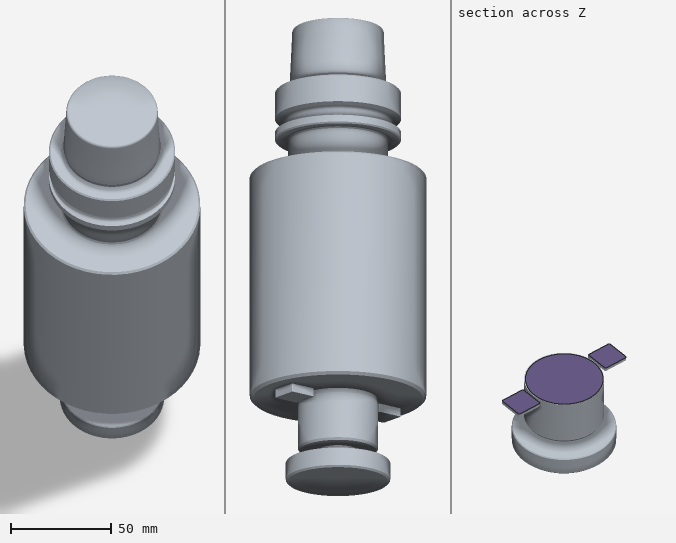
import cadquery as cq

TOTAL_HEIGHT = 235.0

DISC_RADIUS = 26.0
DISC_TOP = 10.0
DISC_CHAMFER = 1.0
DISC_TOP_CHAMFER = 0.5

PIN_RADIUS = 10.0

PILOT_RADIUS = 20.0
PILOT_BOTTOM = 16.0
PILOT_CHAMFER_WIDTH = 0.7
PILOT_CHAMFER_HEIGHT = 1.2
RELIEF_RADIUS = 19.5
RELIEF_BOTTOM = 40.6

BODY_DIAMETER = 88.0
BODY_RADIUS = BODY_DIAMETER / 2
BODY_BOTTOM = 43.0
BODY_TOP = 159.0
BODY_BOTTOM_CHAMFER = 1.5
BODY_TOP_CHAMFER = 1.0

NECK_RADIUS = 25.0
NECK_FLARE = 0.7

FLANGE_RADIUS = 31.5
FLANGE_BOTTOM = 177.3
FLANGE_TOP = 202.7
FLANGE_CHAMFER = 0.7
GROOVE_RADIUS = 27.0
GROOVE_CENTRE = 185.0
GROOVE_MOUTH = 7.0
GROOVE_FLOOR = 3.8
GROOVE_FILLET = 1.0

TAPER_TOP_RADIUS = 22.8
TAPER_ROOT_RADIUS = 24.2
TAPER_ROOT = 205.8
TAPER_FILLET = 1.2
UNDERCUT_RADIUS = 23.7
UNDERCUT_TOP = 205.0
FLARE_RADIUS = 25.4
FLARE_HEIGHT = 1.0

KEY_WIDTH = 13.9
KEY_BOTTOM = 38.8
KEY_INNER = 21.0
KEY_OUTER = 34.8
KEY_CHAMFER = 0.5
KEY_EMBED = 2.3


def revolved(profile):
    """Full turn about Z of a closed outline of (radius, height) points."""
    return cq.Workplane("XZ").polyline(profile).close().revolve(360, (0, 0, 0), (0, 1, 0))


def turned_body():
    """All the round features except the flange groove."""
    profile = [
        (0, 0),
        (DISC_RADIUS - DISC_CHAMFER, 0),
        (DISC_RADIUS, DISC_CHAMFER),
        (DISC_RADIUS, DISC_TOP - DISC_TOP_CHAMFER),
        (DISC_RADIUS - DISC_TOP_CHAMFER, DISC_TOP),
        (PIN_RADIUS, DISC_TOP),
        (PIN_RADIUS, PILOT_BOTTOM),
        (PILOT_RADIUS - PILOT_CHAMFER_WIDTH, PILOT_BOTTOM),
        (PILOT_RADIUS, PILOT_BOTTOM + PILOT_CHAMFER_HEIGHT),
        (PILOT_RADIUS, RELIEF_BOTTOM),
        (RELIEF_RADIUS, RELIEF_BOTTOM),
        (RELIEF_RADIUS, BODY_BOTTOM),
        (BODY_RADIUS - BODY_BOTTOM_CHAMFER, BODY_BOTTOM),
        (BODY_RADIUS, BODY_BOTTOM + BODY_BOTTOM_CHAMFER),
        (BODY_RADIUS, BODY_TOP - BODY_TOP_CHAMFER),
        (BODY_RADIUS - BODY_TOP_CHAMFER, BODY_TOP),
        (NECK_RADIUS + NECK_FLARE, BODY_TOP),
        (NECK_RADIUS, BODY_TOP + NECK_FLARE),
        (NECK_RADIUS, FLANGE_BOTTOM - NECK_FLARE),
        (NECK_RADIUS + NECK_FLARE, FLANGE_BOTTOM),
        (FLANGE_RADIUS - FLANGE_CHAMFER, FLANGE_BOTTOM),
        (FLANGE_RADIUS, FLANGE_BOTTOM + FLANGE_CHAMFER),
        (FLANGE_RADIUS, FLANGE_TOP - FLANGE_CHAMFER),
        (FLANGE_RADIUS - FLANGE_CHAMFER, FLANGE_TOP),
        (FLARE_RADIUS, FLANGE_TOP),
        (UNDERCUT_RADIUS, FLANGE_TOP + FLARE_HEIGHT),
        (UNDERCUT_RADIUS, UNDERCUT_TOP),
        (TAPER_ROOT_RADIUS, TAPER_ROOT),
        (TAPER_TOP_RADIUS, TOTAL_HEIGHT),
        (0, TOTAL_HEIGHT),
    ]
    return revolved(profile).faces(">Z").edges().fillet(TAPER_FILLET)


def flange_groove():
    """Ring-shaped cutter for the V groove, rounded along both edges of its floor."""
    profile = [
        (FLANGE_RADIUS, GROOVE_CENTRE - GROOVE_MOUTH / 2),
        (GROOVE_RADIUS, GROOVE_CENTRE - GROOVE_FLOOR / 2),
        (GROOVE_RADIUS, GROOVE_CENTRE + GROOVE_FLOOR / 2),
        (FLANGE_RADIUS, GROOVE_CENTRE + GROOVE_MOUTH / 2),
    ]
    ring = revolved(profile)
    return ring.edges(cq.selectors.RadiusNthSelector(0)).fillet(GROOVE_FILLET)


def drive_key(side):
    """Key on the +Y (side = 1) or -Y (side = -1) part of the body's lower face."""
    length = KEY_OUTER - KEY_INNER
    return (
        cq.Workplane("XY", origin=(0, side * (KEY_INNER + length / 2), KEY_BOTTOM))
        .rect(KEY_WIDTH, length)
        .extrude(BODY_BOTTOM + KEY_EMBED - KEY_BOTTOM)
        .edges("|Z").chamfer(KEY_CHAMFER)
    )


result = turned_body().cut(flange_groove())
for side in (-1, 1):
    result = result.union(drive_key(side))